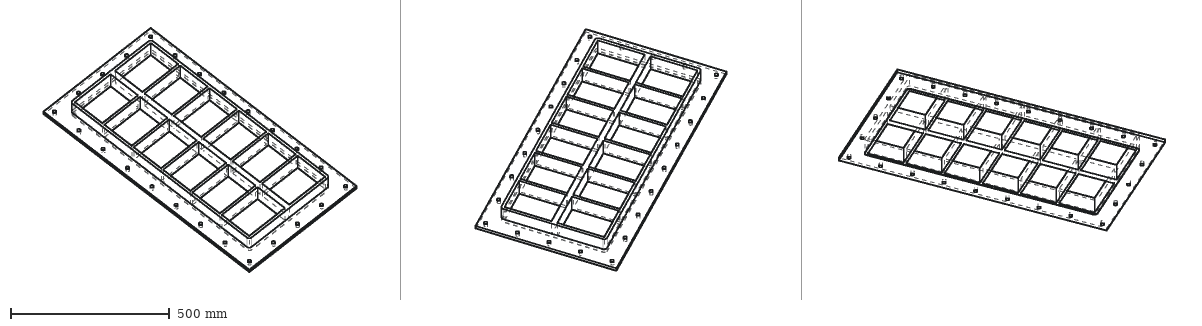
import cadquery as cq

length = 913.0
width = 479.0
flange_thickness = 12.0
flange_margin = 60.0

total_height = 60.0
lower_lip = 2.0
wall = 10.0
corner_radius = wall
frame_length = length - 2 * flange_margin
frame_width = width - 2 * flange_margin

columns = 6
rows = 2
cross_bar = 9.0
center_bar = 20.0
cell_length = (frame_length - 2 * wall - (columns - 1) * cross_bar) / columns
cell_width = (frame_width - 2 * wall - (rows - 1) * center_bar) / rows

hole_diameter = 11.0
hole_inset = 25.0
holes_along_x = 9
holes_along_y = 5
hole_pitch_x = (length - 2 * hole_inset) / (holes_along_x - 1)
hole_pitch_y = (width - 2 * hole_inset) / (holes_along_y - 1)


def make_flange():
    """Plate with a rectangular ring of through holes."""
    plate = (
        cq.Workplane("XY")
        .workplane(offset=lower_lip)
        .rect(length, width)
        .extrude(flange_thickness)
    )
    points = []
    for i in range(holes_along_x):
        for j in range(holes_along_y):
            if i in (0, holes_along_x - 1) or j in (0, holes_along_y - 1):
                x = hole_inset - length / 2 + i * hole_pitch_x
                y = hole_inset - width / 2 + j * hole_pitch_y
                points.append((x, y))
    holes = (
        cq.Workplane("XY")
        .pushPoints(points)
        .circle(hole_diameter / 2)
        .extrude(total_height)
    )
    return plate.cut(holes)


def make_frame():
    """Solid block with rounded vertical corners."""
    return (
        cq.Workplane("XY")
        .rect(frame_length, frame_width)
        .extrude(total_height)
        .edges("|Z")
        .fillet(corner_radius)
    )


def make_openings():
    """Rectangular cutters for all cells of the grid."""
    return (
        cq.Workplane("XY")
        .rarray(cell_length + cross_bar, cell_width + center_bar, columns, rows)
        .rect(cell_length, cell_width)
        .extrude(total_height)
    )


result = make_flange().union(make_frame()).cut(make_openings())